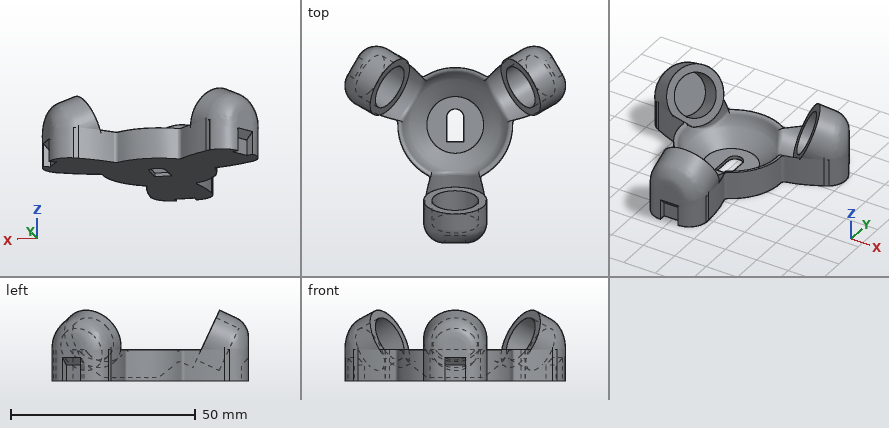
import cadquery as cq
import math

HUB_RADIUS = 15.6
BASE_HEIGHT = 8.5
FLOOR_THICKNESS = 1.0
FLOOR_RADIUS = 7.7
CONE_TOP_RADIUS = 10.95
CONE_TOP_HEIGHT = 3.6
BOWL_MID_RADIUS = 12.95
BOWL_MID_HEIGHT = 5.45
BOWL_RIM_RADIUS = 14.45
RIM_ROUND = 1.0
NECK_FILLET = 1.0

FLOOR_SLOT_WIDTH = 4.6
FLOOR_SLOT_START = -4.5
FLOOR_SLOT_END = 4.3

ARM_ANGLES = (-90, 30, 150)
ARM_REACH = 32.0
PART_HEIGHT = 19.26
CUP_TILT = 25.0
CUP_RADIUS = 8.6
CUP_FACE_REACH = 20.5
SOCKET_RADIUS = 6.3
SOCKET_DEPTH = 6.8
SKIRT_START_REACH = 25.5

NOTCH_WIDTH = 5.6
NOTCH_DEPTH = 2.0
NOTCH_OUTER_HEIGHT = 6.35
NOTCH_INNER_HEIGHT = 4.3

TIP_FILLET = CUP_RADIUS - NOTCH_WIDTH / 2

TILT = math.radians(CUP_TILT)
CUP_FACE_HEIGHT = PART_HEIGHT - CUP_RADIUS * math.cos(TILT)

ELLIPSE_CENTER_REACH = CUP_FACE_REACH + (CUP_FACE_HEIGHT - BASE_HEIGHT) / math.tan(TILT)
ELLIPSE_HALF_LENGTH = CUP_RADIUS / math.sin(TILT)

CUP_LENGTH = 2 * (ARM_REACH - CUP_FACE_REACH)
TROUGH_LENGTH = CUP_FACE_REACH
TOLERANCE = 0.01


def cup_axis_height(reach):
    """Height of the cup axis at a given reach."""
    return CUP_FACE_HEIGHT - (reach - CUP_FACE_REACH) * math.tan(TILT)


def cup_axis_cylinder(radius, length):
    """Cylinder on the cup axis from the cup face: outward if length > 0, else inward."""
    face_plane = cq.Plane(
        origin=(CUP_FACE_REACH, 0, CUP_FACE_HEIGHT),
        xDir=(0, 1, 0),
        normal=(math.cos(TILT), 0, -math.sin(TILT)),
    )
    return cq.Workplane(face_plane).circle(radius).extrude(length)


def side_profile(points, width):
    """Prism from an XZ outline, centered on the XZ plane."""
    return cq.Workplane("XZ").polyline(points).close().extrude(width / 2, both=True)


def make_neck():
    """Arm root, whose upright sides follow the ellipse up to its widest point."""
    ellipse = (
        cq.Workplane()
        .center(ELLIPSE_CENTER_REACH, 0)
        .ellipse(ELLIPSE_HALF_LENGTH, CUP_RADIUS)
        .extrude(BASE_HEIGHT)
    )
    inner_half = cq.Workplane().box(
        ELLIPSE_CENTER_REACH, 2 * CUP_RADIUS, BASE_HEIGHT, centered=(False, True, False)
    )
    return ellipse.intersect(inner_half)


def make_cup():
    """Solid cup with a skirt carried straight down to the base, rounded at the tip."""
    envelope = cq.Workplane().box(
        ARM_REACH, 2 * CUP_RADIUS, PART_HEIGHT, centered=(False, True, False)
    )
    cylinder = cup_axis_cylinder(CUP_RADIUS, CUP_LENGTH).intersect(envelope)
    skirt_outline = [
        (SKIRT_START_REACH, 0),
        (ARM_REACH, 0),
        (ARM_REACH, cup_axis_height(ARM_REACH)),
        (SKIRT_START_REACH, cup_axis_height(SKIRT_START_REACH)),
    ]
    cup = cylinder.union(side_profile(skirt_outline, 2 * CUP_RADIUS))
    return cup.faces(">X").edges("not <Z").fillet(TIP_FILLET)


def make_notch():
    inner_reach = ARM_REACH - NOTCH_DEPTH
    outline = [
        (inner_reach, 0),
        (ARM_REACH, 0),
        (ARM_REACH, NOTCH_OUTER_HEIGHT),
        (inner_reach, NOTCH_INNER_HEIGHT),
    ]
    return side_profile(outline, NOTCH_WIDTH)


def make_arm():
    """One arm along +X, with its socket and tip notch."""
    socket = cup_axis_cylinder(SOCKET_RADIUS, SOCKET_DEPTH)
    return make_neck().union(make_cup()).cut(socket).cut(make_notch())


def make_bowl():
    """Hollow of the hub: flat floor, cone and a steepening arc up to the rim."""
    return (
        cq.Workplane("XZ")
        .moveTo(0, FLOOR_THICKNESS)
        .lineTo(FLOOR_RADIUS, FLOOR_THICKNESS)
        .lineTo(CONE_TOP_RADIUS, CONE_TOP_HEIGHT)
        .threePointArc((BOWL_MID_RADIUS, BOWL_MID_HEIGHT), (BOWL_RIM_RADIUS, BASE_HEIGHT))
        .lineTo(0, BASE_HEIGHT)
        .close()
        .revolve(360, (0, 0), (0, 1))
    )


def make_floor_slot():
    end_radius = FLOOR_SLOT_WIDTH / 2
    end_center = FLOOR_SLOT_END - end_radius
    return (
        cq.Workplane()
        .moveTo(-end_radius, FLOOR_SLOT_START)
        .lineTo(end_radius, FLOOR_SLOT_START)
        .lineTo(end_radius, end_center)
        .threePointArc((0, FLOOR_SLOT_END), (-end_radius, end_center))
        .close()
        .extrude(FLOOR_THICKNESS)
    )


def on_each_arm(body):
    """Copies of a body built along +X, turned to the arm directions."""
    copies = cq.Workplane()
    for angle in ARM_ANGLES:
        copies = copies.add(body.rotate((0, 0, 0), (0, 0, 1), angle))
    return copies.combine()


def is_neck_corner(edge):
    """True for the upright edges where an arm side meets the hub."""
    center = edge.Center()
    on_hub_wall = abs(math.hypot(center.x, center.y) - HUB_RADIUS) < TOLERANCE
    at_mid_height = abs(center.z - BASE_HEIGHT / 2) < TOLERANCE
    on_hub_seam = abs(center.x) < TOLERANCE
    return on_hub_wall and at_mid_height and not on_hub_seam


def is_bowl_rim(edge):
    """True for the upper edge of the bowl, along the hub and across the troughs."""
    box = edge.BoundingBox()
    middle = edge.positionAt(0.5)
    reaches_top = abs(box.zmax - BASE_HEIGHT) < TOLERANCE
    above_cone = box.zmin > CONE_TOP_HEIGHT + TOLERANCE
    middle_reach = math.hypot(middle.x, middle.y)
    on_bowl = BOWL_MID_RADIUS - TOLERANCE < middle_reach < BOWL_RIM_RADIUS + TOLERANCE
    return reaches_top and above_cone and on_bowl


hub = cq.Workplane().circle(HUB_RADIUS).extrude(BASE_HEIGHT).rotate((0, 0, 0), (0, 0, 1), 90)
body = hub.union(on_each_arm(make_arm()))
body = body.edges().filter(is_neck_corner).fillet(NECK_FILLET)

body = body.cut(make_bowl())
body = body.cut(on_each_arm(cup_axis_cylinder(CUP_RADIUS, -TROUGH_LENGTH)))
body = body.edges().filter(is_bowl_rim).fillet(RIM_ROUND)

result = body.cut(make_floor_slot())